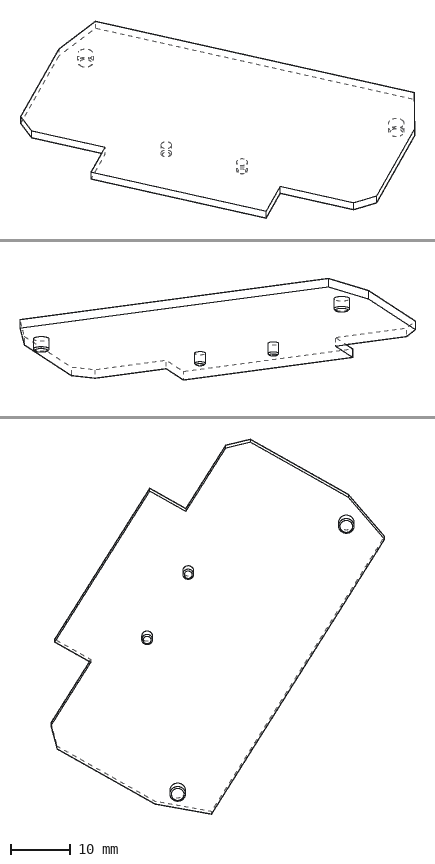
import cadquery as cq

plate_width = 63.0
plate_depth = 38.0
plate_thickness = 1.5

tab_width = 31.0
tab_depth = 7.0

front_corner_cut = 3.0
rear_corner_cut_x = 3.28
rear_corner_cut_y = 9.0

pin_length = 2.0
pin_chamfer = 0.25
outer_pin_diameter = 2.6
outer_pin_spacing = 55.0
outer_pin_rear_distance = 7.0
inner_pin_diameter = 1.8
inner_pin_spacing = 13.4
inner_pin_rear_distance = 25.3


def make_plate():
    """Flat plate: half the outline is drawn and mirrored about the YZ plane."""
    half_width = plate_width / 2
    half_outline = [
        (0, 0),
        (tab_width / 2, 0),
        (tab_width / 2, tab_depth),
        (half_width - front_corner_cut, tab_depth),
        (half_width, tab_depth + front_corner_cut),
        (half_width, plate_depth - rear_corner_cut_y),
        (half_width - rear_corner_cut_x, plate_depth),
        (0, plate_depth),
    ]
    return cq.Workplane("XY").polyline(half_outline).mirrorY().extrude(plate_thickness)


def make_pin_pair(diameter, spacing, rear_distance):
    """Two round pins hanging from the plate, chamfered at their free ends."""
    pin_y = plate_depth - rear_distance
    return (
        cq.Workplane("XY")
        .pushPoints([(-spacing / 2, pin_y), (spacing / 2, pin_y)])
        .circle(diameter / 2)
        .extrude(-pin_length)
        .faces("<Z")
        .chamfer(pin_chamfer)
    )


outer_pins = make_pin_pair(outer_pin_diameter, outer_pin_spacing, outer_pin_rear_distance)
inner_pins = make_pin_pair(inner_pin_diameter, inner_pin_spacing, inner_pin_rear_distance)

result = make_plate().union(outer_pins).union(inner_pins)